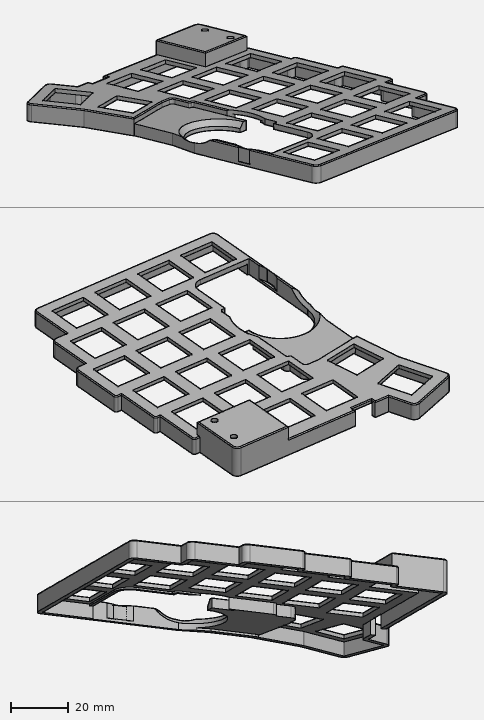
import math

import cadquery as cq

plate_top = 6.6
plate_thickness = 1.5
box_top = 12.0
tray_top = 4.45
tray_thickness = 3.6
plate_bottom = plate_top - plate_thickness
tray_bottom = tray_top - tray_thickness

total_length = 129.87
total_depth = 100.4
wall = 1.9
edge_chamfer = 0.4
corner_radius = 2.2
step_radius = 1.0

key_opening = 13.9
key_pitch = 19.0
key_margin = 11.75
last_column_x = total_length - key_margin
tallest_column_y = total_depth - key_margin
column_drops = [9.5, 4.75, 2.55, 0.0, 4.75, 11.6]
column_rows = [(1, 2), (0, 1, 2), (0, 1, 2), (0, 1, 2), (0, 1, 2), (0, 1, 2, 3)]
last_column = len(column_rows) - 1
tallest_column = column_drops.index(0.0)

outer_thumb_angle = 20.0
inner_thumb_angle = 10.0
inner_thumb_center = (35.4, 20.03)

box_left = 9.97
box_width = 22.0
box_front = 69.7
box_back = 93.0
box_wall = 1.5
cable_hole_diameter = 2.5
cable_holes = [(16.7, 88.7), (28.9, 87.65)]

notch_depth = 2.0
notch_front = 31.3
notch_back = 40.0

ball_center = (75.6, 21.8)
ball_radius = 17.2
ball_clearance_radius = 17.85
ball_bore_radius = 12.1
ball_seat_radius = 13.9
ball_center_height = tray_top + math.sqrt(ball_radius**2 - ball_seat_radius**2)
tray_left = 43.65
tray_offset = 9.9
tray_corner_radius = 1.3
tray_end = 75.5
tray_front = 10.4
tray_back = 37.4
tray_shoulder_x = 51.7
tray_shoulder_y = 35.9
shoulder_radius = 0.7
front_bend_x = 64.1
opening_right = 108.66
opening_back = 35.6
opening_step_x = 89.1
opening_step_y = 37.75
opening_corner_radius = 4.6
front_wall = 1.25
rim_width = 1.2

scoop_x = 97.9
scoop_chord = 10.2
scoop_skin = 0.2
scoop_bottom = 1.05
groove_left = 95.0
groove_width = 4.85
groove_depth = 0.1


def column_x(column):
    return last_column_x - (last_column - column) * key_pitch


def column_y(column):
    return tallest_column_y - column_drops[column]


def turned(center, angle, x, y):
    """Point at (x, y) in a frame that is centred on `center` and turned by `angle` degrees."""
    c = math.cos(math.radians(angle))
    s = math.sin(math.radians(angle))
    return (center[0] + x * c - y * s, center[1] + x * s + y * c)


def rounded_wire(points):
    """Closed wire through (x, y, radius) points, with a tangent arc at each rounded corner."""
    stretches = []
    count = len(points)
    for i, (x, y, radius) in enumerate(points):
        corner = cq.Vector(x, y)
        back = (cq.Vector(*points[i - 1][:2]) - corner).normalized()
        ahead = (cq.Vector(*points[(i + 1) % count][:2]) - corner).normalized()
        if radius == 0:
            stretches.append((corner, None, corner))
            continue
        half_angle = back.getAngle(ahead) / 2
        reach = radius / math.tan(half_angle)
        middle_reach = radius / math.sin(half_angle) - radius
        middle = corner + (back + ahead).normalized() * middle_reach
        stretches.append((corner + back * reach, middle, corner + ahead * reach))
    sketch = cq.Workplane("XY").moveTo(stretches[0][2].x, stretches[0][2].y)
    for start, middle, end in stretches[1:] + stretches[:1]:
        sketch = sketch.lineTo(start.x, start.y)
        if middle is not None:
            sketch = sketch.threePointArc((middle.x, middle.y), (end.x, end.y))
    return sketch.close()


def prism(points, bottom, top):
    return rounded_wire(points).extrude(top - bottom).translate((0, 0, bottom))


thumb_turn = math.radians(outer_thumb_angle)
thumb_reach = (key_margin - corner_radius) * (math.cos(thumb_turn) + math.sin(thumb_turn)) + corner_radius
outer_thumb_center = (thumb_reach, thumb_reach)


def outer_thumb(x, y):
    return turned(outer_thumb_center, outer_thumb_angle, x, y)


def inner_thumb(x, y):
    return turned(inner_thumb_center, inner_thumb_angle, x, y)


def thumb_bend():
    """Where the front lines of the two thumb keys meet."""
    x0, y0 = outer_thumb(0, -key_margin)
    x1, y1 = inner_thumb(0, -key_margin)
    slope0 = math.tan(math.radians(outer_thumb_angle))
    slope1 = math.tan(math.radians(inner_thumb_angle))
    x = (y1 - y0 + slope0 * x0 - slope1 * x1) / (slope0 - slope1)
    return (x, y0 + slope0 * (x - x0))


tray_corner = inner_thumb(tray_offset, -key_margin)
front_edge = column_y(last_column) - column_rows[last_column][-1] * key_pitch - key_margin


def shell_outline(with_notch):
    thumb_back = outer_thumb(-key_margin, key_margin)
    thumb_slope = math.tan(math.radians(outer_thumb_angle))
    thumb_meets_box = thumb_back[1] + thumb_slope * (box_left - thumb_back[0])
    points = [
        (*outer_thumb(-key_margin, -key_margin), corner_radius),
        (*thumb_bend(), 0),
        (*tray_corner, 0),
        (tray_corner[0], tray_front, 0),
        (front_bend_x, tray_front, 0),
        (ball_center[0], front_edge, 0),
        (total_length, front_edge, corner_radius),
    ]
    for column in range(last_column, tallest_column, -1):
        back = column_y(column) + key_margin
        points.append((column_x(column) + key_margin, back, corner_radius))
        points.append((column_x(column - 1) + key_margin, back, 0))
    tallest_right = column_x(tallest_column) + key_margin
    points.append((tallest_right, column_y(tallest_column) + key_margin, corner_radius))
    for column in range(tallest_column, 0, -1):
        left = column_x(column) - key_margin
        next_back = column_y(column - 1) + key_margin if column > 1 else box_back
        points.append((left, column_y(column) + key_margin, step_radius))
        points.append((left, next_back, 0))
    points.append((box_left, box_back, corner_radius))
    if with_notch:
        points += [
            (box_left, notch_back, 0),
            (box_left + notch_depth, notch_back, 0),
            (box_left + notch_depth, notch_front, 0),
            (box_left, notch_front, 0),
        ]
    points.append((box_left, thumb_meets_box, 0))
    points.append((*thumb_back, corner_radius))
    return points


def make_shell():
    shell = prism(shell_outline(True), 0, plate_top).faces(">Z").edges().chamfer(edge_chamfer)
    box_right = box_left + box_width
    box = prism(
        [
            (box_left, box_front, 0),
            (box_right, box_front, 0),
            (box_right, box_back, 0),
            (box_left, box_back, corner_radius),
        ],
        0,
        box_top,
    )
    box = box.faces(">Z").edges().chamfer(edge_chamfer)
    cavity = rounded_wire(shell_outline(False)).offset2D(-wall).extrude(plate_bottom)
    cavity_width = box_width - wall - box_wall
    cavity_depth = box_back - box_front - wall - box_wall
    box_cavity = (
        cq.Workplane("XY")
        .box(cavity_width, cavity_depth, box_top - box_wall, centered=False)
        .translate((box_left + wall, box_front + box_wall, 0))
    )
    return shell.union(box).cut(cavity).cut(box_cavity)


def key_cutters():
    places = [
        (column_x(column), column_y(column) - row * key_pitch, 0)
        for column in range(last_column + 1)
        for row in column_rows[column]
    ]
    places.append((*outer_thumb_center, outer_thumb_angle))
    places.append((*inner_thumb_center, inner_thumb_angle))
    cutters = cq.Workplane("XY")
    for x, y, angle in places:
        cutter = cq.Workplane("XY").rect(key_opening, key_opening).extrude(box_top)
        cutters = cutters.add(cutter.rotate((0, 0, 0), (0, 0, 1), angle).translate((x, y, 0)))
    return cutters.combine()


def tray_outline():
    slant = math.tan(math.radians(inner_thumb_angle))
    slant_top = tray_corner[1] + (tray_corner[0] - tray_left) / slant
    return [
        (*tray_corner, 0),
        (tray_left, slant_top, 0),
        (tray_left, tray_shoulder_y, tray_corner_radius),
        (tray_shoulder_x, tray_shoulder_y, shoulder_radius),
        (tray_shoulder_x, tray_back, shoulder_radius),
        (tray_end, tray_back, 0),
        (tray_end, front_edge, 0),
        (tray_corner[0], front_edge, 0),
    ]


def opening_outline():
    opening_front = front_edge + front_wall
    return [
        (tray_end, opening_front, 0),
        (opening_right, opening_front, 0),
        (opening_right, opening_back, opening_corner_radius),
        (opening_step_x, opening_back, 0),
        (opening_step_x, opening_step_y, step_radius),
        (tray_end, opening_step_y, 0),
    ]


def add_trackball_mount(body):
    limits = prism(shell_outline(False), 0, plate_top - edge_chamfer)
    tray = rounded_wire(tray_outline()).offset2D(rim_width).extrude(plate_bottom - tray_bottom)
    tray = tray.translate((0, 0, tray_bottom))
    rim = rounded_wire(opening_outline()).offset2D(rim_width).extrude(plate_bottom - tray_top)
    rim = rim.translate((0, 0, tray_top))
    body = body.union(tray.intersect(limits)).union(rim.intersect(limits))
    body = body.cut(prism(tray_outline(), tray_top, plate_top)).cut(tray_edge_bevel())
    body = body.cut(prism(opening_outline(), 0, plate_top))
    return body.cut(ball_cutters())


def tray_edge_bevel():
    """Flared cutter that bevels the plate's top edge around the tray."""
    cutter = rounded_wire(tray_outline()).offset2D(edge_chamfer).extrude(2 * edge_chamfer)
    cutter = cutter.faces("<Z").edges().chamfer(edge_chamfer)
    return cutter.translate((0, 0, plate_top - edge_chamfer))


def ball_cutters():
    clearance = cq.Workplane("XY").center(*ball_center).circle(ball_clearance_radius).extrude(plate_top)
    behind_tray = (
        cq.Workplane("XY")
        .box(total_length, total_depth, plate_top, centered=False)
        .translate((0, tray_back, 0))
    )
    bore = cq.Workplane("XY").center(*ball_center).circle(ball_bore_radius).extrude(plate_top)
    ball = cq.Workplane("XY").sphere(ball_radius).translate((*ball_center, ball_center_height))
    return ball.union(bore).union(clearance.intersect(behind_tray))


def front_wall_cutters():
    sagitta = front_wall - scoop_skin
    radius = ((scoop_chord / 2) ** 2 + sagitta**2) / (2 * sagitta)
    height = plate_top - scoop_bottom
    scoop = cq.Workplane("XY").circle(radius).extrude(height)
    scoop = scoop.translate((scoop_x, front_edge + scoop_skin + radius, scoop_bottom))
    wall_span = (
        cq.Workplane("XY")
        .box(scoop_chord, front_wall, plate_top, centered=False)
        .translate((scoop_x - scoop_chord / 2, front_edge, 0))
    )
    groove = cq.Workplane("XY").box(groove_width, groove_depth, height, centered=False)
    groove = groove.translate((groove_left, front_edge, scoop_bottom))
    return scoop.intersect(wall_span).union(groove)


def cable_hole_cutters():
    return cq.Workplane("XY").pushPoints(cable_holes).circle(cable_hole_diameter / 2).extrude(box_top)


body = add_trackball_mount(make_shell())
body = body.cut(key_cutters()).cut(front_wall_cutters()).cut(cable_hole_cutters())
result = body.solids()